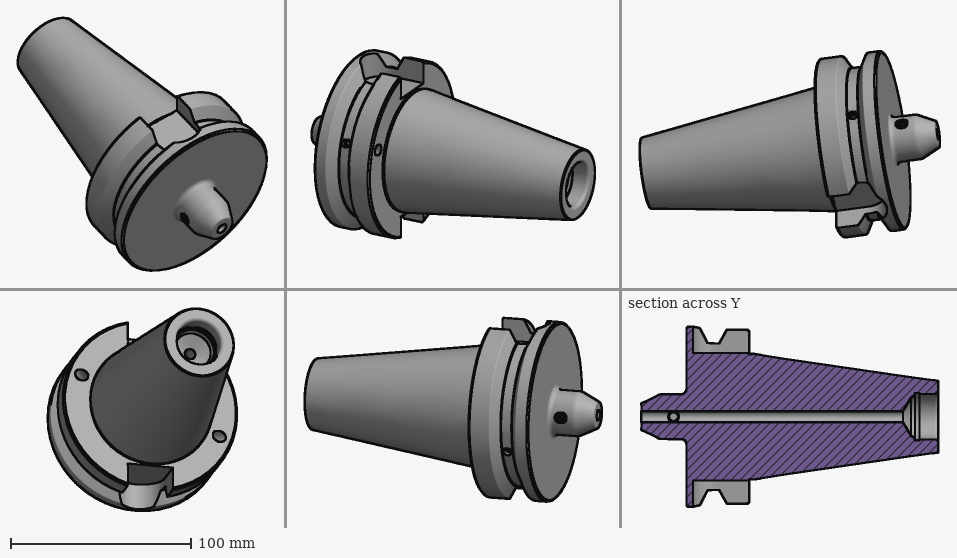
import cadquery as cq
import math

TOTAL_LENGTH = 164.8
SHANK_LENGTH = 102.3
SHANK_END_RADIUS = 35.0
TAPER = 7 / 24
SHANK_TIP_RADIUS = SHANK_END_RADIUS - SHANK_LENGTH * TAPER / 2
SHANK_TIP_CHAMFER = 0.5
COLLAR_WIDTH = 1.3
COLLAR_RELIEF_RADIUS = 34.6

FLANGE_START = 104.8
FLANGE_END = 139.8
FLANGE_DIAMETER = 100.0
FLANGE_RADIUS = FLANGE_DIAMETER / 2
FLANGE_CHAMFER = 1.0
GROOVE_CENTRE = 124.8
GROOVE_FLOOR_WIDTH = 6.5
GROOVE_FLOOR_RADIUS = 42.7
GROOVE_FLANK_ANGLE = 30
GROOVE_EDGE_FILLET = 1.0
GROOVE_FLOOR_FILLET = 0.5

NOSE_RADIUS = 12.5
NOSE_ROOT_FILLET = 2.8
NOSE_CONE_START = 154.3
NOSE_TIP_RADIUS = 7.4
NOSE_SHOULDER_FILLET = 3.3
NOSE_TIP_FILLET = 1.2

BORE_RADIUS = 12.5
BORE_MOUTH_FILLET = 2.0
RELIEF_START = 10.5
RELIEF_END = 13.0
RELIEF_GROOVE_RADIUS = 13.0
LEAD_IN_RADIUS = 11.9
LEAD_IN_END = 15.2
DRILL_POINT_RADIUS = 10.5
DRILL_POINT_ANGLE = 118
TOOL_BORE_RADIUS = 3.0

SLOT_WIDTH = 25.9
SLOT_FLOOR = 35.5
SLOT_END = 136.0

COOLANT_ANGLE = 20
CHANNEL_RADIUS = 3.1
CHANNEL_MOUTH_RADIUS = 42.0
CHANNEL_TILT = 35
CROSS_HOLE_RADIUS = 2.3
CROSS_HOLE_DEPTH = 3.1
CROSS_DRILL_RADIUS = 1.5

SCREW_X = 146.8
SCREW_RADIUS = 3.0
SCREW_HEAD_Y = -11.9
SCREW_CHAMFER = 0.5
SCREW_MOUTH_RADIUS = 3.5
SOCKET_WIDTH = 3.0
SOCKET_DEPTH = 3.3


def radial_cylinder(x, angle, radius, inner, outer):
    """Cylinder square to the X axis, at an angle measured from +Y towards +Z."""
    direction = cq.Vector(0, math.cos(math.radians(angle)), math.sin(math.radians(angle)))
    start = cq.Vector(x, 0, 0) + direction * inner
    return cq.Workplane(cq.Solid.makeCylinder(radius, outer - inner, start, direction))


def circle_at(x):
    """Selector for the whole circles that lie square to the axis at x."""
    half_size = FLANGE_RADIUS
    half_depth = 0.2
    return cq.selectors.BoxSelector(
        (x - half_depth, -half_size, -half_size),
        (x + half_depth, half_size, half_size),
    )


def revolve_about_x(profile):
    return profile.close().revolve(360, (0, 0, 0), (1, 0, 0))


def shank():
    profile = (
        cq.Workplane("XY")
        .lineTo(0, SHANK_TIP_RADIUS - SHANK_TIP_CHAMFER)
        .lineTo(SHANK_TIP_CHAMFER, SHANK_TIP_RADIUS)
        .lineTo(SHANK_LENGTH, SHANK_END_RADIUS)
        .lineTo(SHANK_LENGTH + COLLAR_WIDTH, SHANK_END_RADIUS)
        .lineTo(SHANK_LENGTH + COLLAR_WIDTH, COLLAR_RELIEF_RADIUS)
        .lineTo(FLANGE_START, COLLAR_RELIEF_RADIUS)
        .lineTo(FLANGE_START, 0)
    )
    return revolve_about_x(profile)


def flange():
    flank_run = (FLANGE_RADIUS - GROOVE_FLOOR_RADIUS) * math.tan(math.radians(GROOVE_FLANK_ANGLE))
    half_floor = GROOVE_FLOOR_WIDTH / 2
    half_top = half_floor + flank_run
    disc = revolve_about_x(
        cq.Workplane("XY")
        .moveTo(FLANGE_START, 0)
        .lineTo(FLANGE_START, FLANGE_RADIUS)
        .lineTo(GROOVE_CENTRE - half_top, FLANGE_RADIUS)
        .lineTo(GROOVE_CENTRE - half_floor, GROOVE_FLOOR_RADIUS)
        .lineTo(GROOVE_CENTRE + half_floor, GROOVE_FLOOR_RADIUS)
        .lineTo(GROOVE_CENTRE + half_top, FLANGE_RADIUS)
        .lineTo(FLANGE_END, FLANGE_RADIUS)
        .lineTo(FLANGE_END, 0)
    )
    for x in (GROOVE_CENTRE - half_top, GROOVE_CENTRE + half_top):
        disc = disc.edges(circle_at(x)).fillet(GROOVE_EDGE_FILLET)
    for x in (GROOVE_CENTRE - half_floor, GROOVE_CENTRE + half_floor):
        disc = disc.edges(circle_at(x)).fillet(GROOVE_FLOOR_FILLET)
    return disc.faces("<X or >X").edges().chamfer(FLANGE_CHAMFER)


def nose():
    body = revolve_about_x(
        cq.Workplane("XY")
        .moveTo(FLANGE_END, 0)
        .lineTo(FLANGE_END, NOSE_RADIUS + NOSE_ROOT_FILLET)
        .radiusArc((FLANGE_END + NOSE_ROOT_FILLET, NOSE_RADIUS), -NOSE_ROOT_FILLET)
        .lineTo(NOSE_CONE_START, NOSE_RADIUS)
        .lineTo(TOTAL_LENGTH, NOSE_TIP_RADIUS)
        .lineTo(TOTAL_LENGTH, 0)
    )
    body = body.edges(circle_at(NOSE_CONE_START)).fillet(NOSE_SHOULDER_FILLET)
    return body.faces(">X").edges().fillet(NOSE_TIP_FILLET)


def axial_bore():
    drill_run = (DRILL_POINT_RADIUS - TOOL_BORE_RADIUS) / math.tan(math.radians(DRILL_POINT_ANGLE / 2))
    profile = (
        cq.Workplane("XY")
        .lineTo(0, BORE_RADIUS + BORE_MOUTH_FILLET)
        .radiusArc((BORE_MOUTH_FILLET, BORE_RADIUS), -BORE_MOUTH_FILLET)
        .lineTo(RELIEF_START, BORE_RADIUS)
        .lineTo(RELIEF_START, RELIEF_GROOVE_RADIUS)
        .lineTo(RELIEF_END, RELIEF_GROOVE_RADIUS)
        .lineTo(RELIEF_END, LEAD_IN_RADIUS)
        .lineTo(LEAD_IN_END, DRILL_POINT_RADIUS)
        .lineTo(LEAD_IN_END + drill_run, TOOL_BORE_RADIUS)
        .lineTo(TOTAL_LENGTH, TOOL_BORE_RADIUS)
        .lineTo(TOTAL_LENGTH, 0)
    )
    return revolve_about_x(profile)


def drive_slot():
    """Cutter for the upper slot: open towards the shank, round at the far end."""
    end_centre = SLOT_END - SLOT_WIDTH / 2
    depth = FLANGE_RADIUS - SLOT_FLOOR
    return (
        cq.Workplane("XY", origin=(0, 0, SLOT_FLOOR))
        .moveTo(FLANGE_START, -SLOT_WIDTH / 2)
        .lineTo(end_centre, -SLOT_WIDTH / 2)
        .threePointArc((SLOT_END, 0), (end_centre, SLOT_WIDTH / 2))
        .lineTo(FLANGE_START, SLOT_WIDTH / 2)
        .close()
        .extrude(depth)
    )


def coolant_channel(angle):
    """Sloping channel from the flange face, with a stepped cross hole from the groove floor."""
    tilt = math.radians(CHANNEL_TILT)
    mouth = cq.Vector(FLANGE_START, CHANNEL_MOUTH_RADIUS, 0)
    direction = cq.Vector(math.cos(tilt), -math.sin(tilt), 0)
    length = (GROOVE_CENTRE - FLANGE_START) / math.cos(tilt)
    lead = CHANNEL_RADIUS
    channel = cq.Solid.makeCylinder(
        CHANNEL_RADIUS, lead + length, mouth - direction * lead, direction
    )
    channel = cq.Workplane(channel).rotate((0, 0, 0), (1, 0, 0), angle)
    channel_end = CHANNEL_MOUTH_RADIUS - length * math.sin(tilt)
    step = GROOVE_FLOOR_RADIUS - CROSS_HOLE_DEPTH
    wide = radial_cylinder(GROOVE_CENTRE, angle, CROSS_HOLE_RADIUS, step, FLANGE_RADIUS)
    narrow = radial_cylinder(GROOVE_CENTRE, angle, CROSS_DRILL_RADIUS, channel_end, step)
    return channel.union(wide).union(narrow)


def screw_hole():
    hole = radial_cylinder(SCREW_X, 180, SCREW_RADIUS, 0, NOSE_RADIUS)
    step = SCREW_MOUTH_RADIUS - SCREW_RADIUS
    mouth = cq.Solid.makeCone(
        SCREW_MOUTH_RADIUS, SCREW_RADIUS, step, cq.Vector(SCREW_X, -NOSE_RADIUS, 0), cq.Vector(0, 1, 0)
    )
    return hole.union(cq.Workplane(mouth))


def make_holder():
    holder = shank().union(flange()).union(nose()).cut(axial_bore())
    for turn in (0, 180):
        holder = holder.cut(drive_slot().rotate((0, 0, 0), (1, 0, 0), turn))
        holder = holder.cut(coolant_channel(COOLANT_ANGLE + turn))
    return holder.cut(screw_hole())


def make_clamping_screw():
    """Grub screw reaching from just inside the nose surface to the tool bore."""
    head_plane = cq.Plane(origin=(SCREW_X, SCREW_HEAD_Y, 0), xDir=(1, 0, 0), normal=(0, -1, 0))
    length = -SCREW_HEAD_Y - TOOL_BORE_RADIUS
    screw = cq.Workplane(head_plane).circle(SCREW_RADIUS).extrude(-length)
    screw = screw.edges("%CIRCLE").chamfer(SCREW_CHAMFER)
    corner_diameter = SOCKET_WIDTH / math.cos(math.pi / 6)
    socket = cq.Workplane(head_plane).polygon(6, corner_diameter).extrude(-SOCKET_DEPTH)
    return screw.cut(socket)


holder = make_holder()
clamping_screw = make_clamping_screw()
result = cq.Compound.makeCompound([holder.solids().val(), clamping_screw.solids().val()])